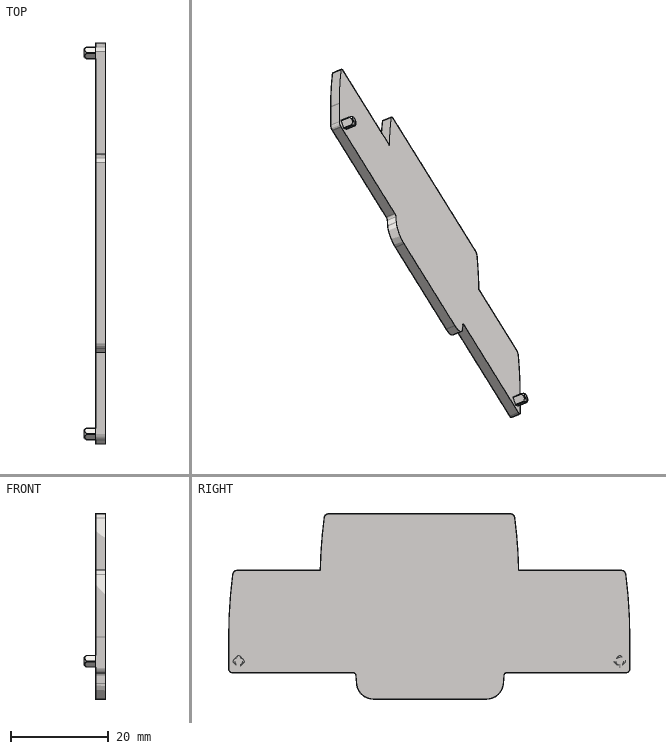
import cadquery as cq
import math

plate_thickness = 2.0
overall_width = 81.94
overall_height = 37.9
shoulder_top_z = 26.35
shoulder_bottom_z = 5.4

flank_radius = 100.0
flank_height = 13.65
upper_block_width = 40.6
upper_block_y = -2.0
flank_corner_radius = 1.0
lower_corner_radius = 0.8

tab_root_width = 30.4
tab_y = 0.15
tab_side_lean = 5.0
tab_root_radius = 0.5
tab_corner_radius = 3.5

pin_length = 2.4
pin_diagonal = 2.6
pin_diameter = 2.4
pin_spacing = 77.8
pin_z = 7.75
pin_tip_diameter = 1.6
pin_lead_in = 0.5


def flank_inset(height):
    """Inward lean of a flank at a height above the vertical start of its arc."""
    return flank_radius - math.sqrt(flank_radius**2 - height**2)


def flanked_block(width, bottom_z, top_z):
    """Slab of the given width whose two sides lean in along the flank arc near the top."""
    half_width = width / 2
    arc_start_z = top_z - flank_height
    arc_base_z = max(arc_start_z, bottom_z)
    base_rise = arc_base_z - arc_start_z
    middle_rise = (base_rise + flank_height) / 2
    base_y = half_width - flank_inset(base_rise)
    middle = (half_width - flank_inset(middle_rise), arc_start_z + middle_rise)
    top_y = half_width - flank_inset(flank_height)

    outline = cq.Workplane("YZ").moveTo(-base_y, bottom_z).lineTo(base_y, bottom_z)
    if arc_base_z > bottom_z:
        outline = outline.lineTo(base_y, arc_base_z)
    outline = outline.threePointArc(middle, (top_y, top_z)).lineTo(-top_y, top_z)
    outline = outline.threePointArc((-middle[0], middle[1]), (-base_y, arc_base_z))
    block = outline.close().extrude(plate_thickness)
    return block.edges("|X and >Z").fillet(flank_corner_radius)


def make_tab():
    """Tab hanging below the shoulders, with large rounded lower corners."""
    root_y = tab_root_width / 2
    tip_y = root_y - shoulder_bottom_z * math.tan(math.radians(tab_side_lean))
    outline = [(-root_y, shoulder_bottom_z), (-tip_y, 0), (tip_y, 0), (root_y, shoulder_bottom_z)]
    tab = cq.Workplane("YZ").polyline(outline).close().extrude(plate_thickness)
    return tab.edges("|X and <Z").fillet(tab_corner_radius)


def make_plate():
    """Wide body, narrower upper block and tab, joined with rounded tab roots."""
    body = flanked_block(overall_width, shoulder_bottom_z, shoulder_top_z)
    body = body.edges("|X and <Z").fillet(lower_corner_radius)
    upper_block = flanked_block(upper_block_width, shoulder_top_z, overall_height)
    plate = body.union(upper_block.translate((0, upper_block_y, 0)))
    plate = plate.union(make_tab().translate((0, tab_y, 0)))
    for side in (-1, 1):
        root = cq.selectors.NearestToPointSelector(
            (plate_thickness / 2, tab_y + side * tab_root_width / 2, shoulder_bottom_z)
        )
        plate = plate.edges("|X").edges(root).fillet(tab_root_radius)
    return plate


def make_pin(y):
    """Diamond-section pin pointing to -X, its corners turned round and its tip turned to a cone."""
    face = cq.Workplane("YZ").center(y, pin_z)
    prism = face.polygon(4, pin_diagonal).extrude(-pin_length)
    radius = pin_diameter / 2
    straight = face.circle(radius).extrude(-(pin_length - pin_lead_in))
    cone = (
        face.workplane(offset=-pin_length)
        .circle(pin_tip_diameter / 2)
        .workplane(offset=pin_lead_in)
        .circle(radius)
        .loft()
    )
    return prism.intersect(straight.union(cone))


result = make_plate()
for side in (-1, 1):
    result = result.union(make_pin(side * pin_spacing / 2))